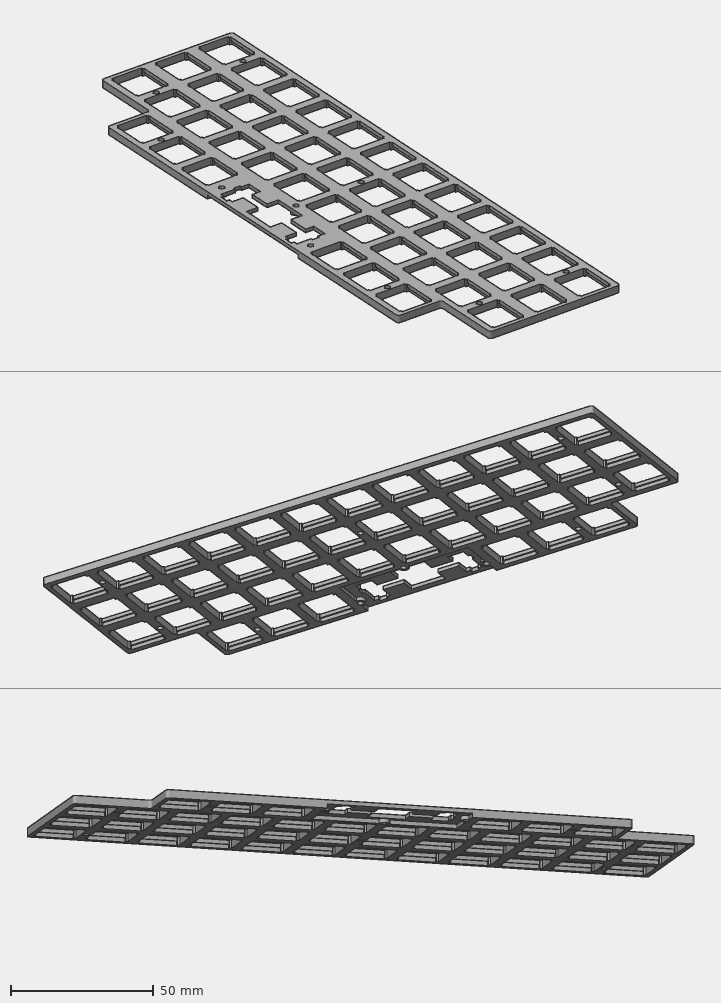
import cadquery as cq
KEY_PITCH = 19.05
COLUMNS = 12
UPPER_ROWS = 3
LOWER_ROW_COLUMNS = 9
LOWER_ROW_KEYS_PER_SIDE = 3
THICKNESS = 3.0
WEB_THICKNESS = 1.5
OUTLINE_RADIUS = 1.2
LEFT_STEP_DROP = 0.35

SWITCH_SIZE = 14.0
NOTCHED_WIDTH = 15.6
NOTCH_HEIGHT = 12.8
CLIP_RECESS_HEIGHT = 15.0

STABILIZER_OFFSET = KEY_PITCH
STABILIZER_WIDTH = 6.65
STABILIZER_TOP = 5.53
STABILIZER_BOTTOM = -6.77
STABILIZER_FOOT_WIDTH = 3.3
STABILIZER_FOOT_BOTTOM = -7.97
STABILIZER_EAR_REACH = 4.2
STABILIZER_EAR_TOP = 2.3
STABILIZER_EAR_BOTTOM = -0.5
WIRE_SLOT_HEIGHT = 4.0

RELIEF_WIDTH = 53.4
BOSS_DIAMETER = 4.0

SCREW_HOLE_DIAMETER = 2.2
SPACE_HOLE_X = 26.2
SPACE_HOLE_DROP = 3.6

WIDTH = COLUMNS * KEY_PITCH
DEPTH = (UPPER_ROWS + 1) * KEY_PITCH
LOWER_ROW_WIDTH = LOWER_ROW_COLUMNS * KEY_PITCH
LOWER_DEPTH = THICKNESS - WEB_THICKNESS
FRONT_Y = -DEPTH / 2
STEP_Y = FRONT_Y + KEY_PITCH
SPACE_Y = FRONT_Y + KEY_PITCH / 2
BOSS_POINTS = [
    (-SPACE_HOLE_X, SPACE_Y - SPACE_HOLE_DROP),
    (SPACE_HOLE_X, SPACE_Y - SPACE_HOLE_DROP),
    (0, STEP_Y),
]


def column_x(column):
    """X of a key centre; column 0 is the leftmost full column."""
    return (column + 0.5) * KEY_PITCH - WIDTH / 2


def row_y(row):
    """Y of a key centre; row 0 is the rearmost row."""
    return DEPTH / 2 - (row + 0.5) * KEY_PITCH


def block(x_min, x_max, y_min, y_max, height=THICKNESS):
    """Box between the given limits, standing on Z = 0."""
    box = cq.Workplane("XY").box(x_max - x_min, y_max - y_min, height, centered=False)
    return box.translate((x_min, y_min, 0))


def cylinders(points, diameter):
    """Full-thickness cylinders at the given points."""
    return cq.Workplane("XY").pushPoints(points).circle(diameter / 2).extrude(THICKNESS)


def rectangles(points, width, height, depth=THICKNESS):
    """Rectangular prisms centred on the given points, standing on Z = 0."""
    return cq.Workplane("XY").pushPoints(points).rect(width, height).extrude(depth)


def plate():
    """T-shaped plate with rounded corners; the left step lies slightly lower than the right."""
    half_width = WIDTH / 2
    half_lower = LOWER_ROW_WIDTH / 2
    left_step_y = STEP_Y - LEFT_STEP_DROP
    outline = [
        (-half_width, DEPTH / 2),
        (half_width, DEPTH / 2),
        (half_width, STEP_Y),
        (half_lower, STEP_Y),
        (half_lower, FRONT_Y),
        (-half_lower, FRONT_Y),
        (-half_lower, left_step_y),
        (-half_width, left_step_y),
    ]
    body = cq.Workplane("XY").polyline(outline).close().extrude(THICKNESS)
    return body.edges("|Z").fillet(OUTLINE_RADIUS)


def key_openings():
    """Switch openings of the upper rows and of both sides of the lower row."""
    points = [(column_x(c), row_y(r)) for r in range(UPPER_ROWS) for c in range(COLUMNS)]
    for key in range(LOWER_ROW_KEYS_PER_SIDE):
        x = LOWER_ROW_WIDTH / 2 - (key + 0.5) * KEY_PITCH
        points += [(-x, SPACE_Y), (x, SPACE_Y)]
    squares = rectangles(points, SWITCH_SIZE, SWITCH_SIZE)
    notches = rectangles(points, NOTCHED_WIDTH, NOTCH_HEIGHT)
    clip_recesses = rectangles(points, SWITCH_SIZE, CLIP_RECESS_HEIGHT, LOWER_DEPTH)
    return squares.union(notches).union(clip_recesses)


def right_stabilizer_opening():
    """Stabilizer opening with its foot notch and outer ear, relative to the space bar centre."""
    x = STABILIZER_OFFSET
    half_width = STABILIZER_WIDTH / 2
    half_foot = STABILIZER_FOOT_WIDTH / 2
    body = block(x - half_width, x + half_width, STABILIZER_BOTTOM, STABILIZER_TOP)
    foot = block(x - half_foot, x + half_foot, STABILIZER_FOOT_BOTTOM, 0)
    ear = block(x, x + STABILIZER_EAR_REACH, STABILIZER_EAR_BOTTOM, STABILIZER_EAR_TOP)
    return body.union(foot).union(ear)


def space_bar_opening():
    """Square switch opening joined by a wire slot to the two stabilizer openings."""
    half = SWITCH_SIZE / 2
    half_slot = WIRE_SLOT_HEIGHT / 2
    switch = block(-half, half, -half, half)
    slot = block(-STABILIZER_OFFSET, STABILIZER_OFFSET, -half_slot, half_slot)
    right = right_stabilizer_opening()
    opening = switch.union(slot).union(right).union(right.mirror("YZ"))
    return opening.translate((0, SPACE_Y, 0))


def underside_relief():
    """Pocket below the space bar, open at the front edge, less the screw bosses."""
    pocket = block(-RELIEF_WIDTH / 2, RELIEF_WIDTH / 2, FRONT_Y, STEP_Y, LOWER_DEPTH)
    return pocket.cut(cylinders(BOSS_POINTS, BOSS_DIAMETER))


def screw_holes():
    """Holes between the keys, and the holes around the space bar."""
    side_x = WIDTH / 2 - KEY_PITCH
    lower_x = LOWER_ROW_WIDTH / 2 - KEY_PITCH
    points = [(0, row_y(1))] + BOSS_POINTS
    for side in (-1, 1):
        points += [(side * side_x, row_y(0)), (side * side_x, row_y(2)), (side * lower_x, SPACE_Y)]
    return cylinders(points, SCREW_HOLE_DIAMETER)


result = plate()
for cutter in (underside_relief(), key_openings(), space_bar_opening(), screw_holes()):
    result = result.cut(cutter)